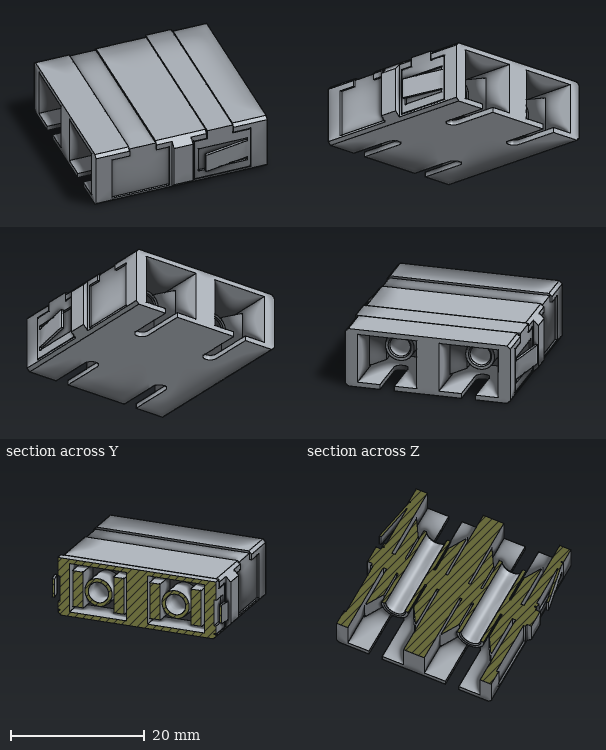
import cadquery as cq
import math

body_width = 25.7
body_length = 27.42
body_height = 9.25
half_width = body_width / 2
half_length = body_length / 2

flange_step = 0.79
flange_length = 3.03
body_chamfer = 0.48

cavity_offset = 6.35
cavity_width = 9.2
wall = 0.79
web_thickness = flange_length

tube_offset = 6.25
tube_z = 4.6
tube_diameter = 4.5
tube_length = 5.78
tube_reach = web_thickness / 2 + tube_length
bore_diameter = 3.2
bore_chamfer = 0.2
hook_width = 1.75
hook_height = 5.8
hook_spread = 8.42
hook_tip_to_end = 4.77
hook_bevel_angle = 30.0

keyway_width = 2.2
keyway_length = 8.42

recess_depth = 0.35
side_recess_start = 1.95
side_recess_length = 9.18
side_recess_bottom = 0.79
side_recess_top = 7.9
top_recess_start = 4.0
top_recess_length = 4.3
clip_gap = 0.098

outer_width = 28.07
window_start = 2.7
window_length = 7.85
window_height = 4.1
tab_height = 3.0
tab_z = 4.2
tab_tip_y = 3.42
tab_tip_flat = 0.45
tab_root_flat = 0.22


def box(width, length, height, x, y, z):
    """Box centred in X on x, starting at y and z."""
    return cq.Workplane("XY").box(width, length, height, centered=(True, False, False)).translate((x, y, z))


def both_ends(shape):
    """The shape at the front end together with its mirror image at the rear end."""
    return shape.union(shape.mirror("XZ"))


def both_sides(shape):
    """The shape on the right together with its mirror image on the left."""
    return shape.union(shape.mirror("YZ"))


def chamfered_bar(width, length, chamfer):
    bar = box(width, length, body_height, 0, -length / 2, 0)
    return bar.edges("|Y").chamfer(chamfer)


def cavity(x):
    end_depth = half_length - web_thickness / 2
    height = body_height - 2 * wall
    return box(cavity_width, end_depth, height, x, -half_length, wall)


def keyway(x):
    straight = keyway_length - keyway_width / 2
    slot = box(keyway_width, straight, wall, x, -half_length, 0)
    round_end = cq.Workplane("XY").center(x, straight - half_length).circle(keyway_width / 2).extrude(wall)
    return slot.union(round_end)


def latch_hook(x, side):
    """Arm reaching forward from the web, bevelled on the face toward the ferrule tube."""
    tip_y = hook_tip_to_end - half_length
    bevel_length = hook_width / math.tan(math.radians(hook_bevel_angle))
    outer_x = x + side * hook_spread / 2
    inner_x = outer_x - side * hook_width
    outline = [(outer_x, 0), (outer_x, tip_y), (inner_x, tip_y + bevel_length), (inner_x, 0)]
    arm = cq.Workplane("XY").polyline(outline).close().extrude(hook_height)
    return arm.translate((0, 0, tube_z - hook_height / 2))


def rod(x, diameter):
    """Round bar on the axis of one tube, from mid length to the tube's front tip."""
    return cq.Workplane("XZ").center(x, tube_z).circle(diameter / 2).extrude(tube_reach)


def ferrule_bore(x):
    """Bore with a cone that widens toward the tube's front tip."""
    tip = cq.Workplane("XZ", origin=(x, -tube_reach, tube_z))
    mouth = tip.circle(bore_diameter / 2 + bore_chamfer)
    cone = mouth.workplane(offset=-bore_chamfer).circle(bore_diameter / 2).loft()
    return rod(x, bore_diameter).union(cone)


def wrap_band(gap):
    """Band that fills the rear recess, drawn in by gap along its edges."""
    side_y = side_recess_start + gap
    side_z = side_recess_bottom + gap
    side_length = side_recess_length - 2 * gap
    side_height = side_recess_top - side_recess_bottom - 2 * gap
    top_y = top_recess_start + gap
    top_length = top_recess_length - 2 * gap
    band = box(body_width, side_length, side_height, 0, side_y, side_z)
    band = band.union(box(body_width, top_length, body_height - side_z, 0, top_y, side_z))
    inner_width = body_width - 2 * recess_depth
    core = box(inner_width, body_length, body_height - recess_depth, 0, 0, 0)
    return band.cut(core)


def tab_window():
    x = half_width - recess_depth / 2
    return box(recess_depth, window_length, window_height, x, window_start, tab_z - window_height / 2)


def spring_tab():
    """Tab that leaves the clip face near the window's rear edge and ends in a short flat tip."""
    outer_x = outer_width / 2
    root_y = window_start + window_length
    root_bend_y = root_y - tab_root_flat
    tip_bend_y = tab_tip_y + tab_tip_flat
    slope = (outer_x - half_width) / (root_bend_y - tip_bend_y)
    floor_x = half_width - recess_depth
    tip_inner_x = outer_x - recess_depth
    floor_y = tab_tip_y + (tip_inner_x - floor_x) / slope
    outline = [
        (outer_x, tab_tip_y),
        (outer_x, tip_bend_y),
        (half_width, root_bend_y),
        (half_width, root_y),
        (floor_x, root_y),
        (floor_x, floor_y),
        (tip_inner_x, tab_tip_y),
    ]
    tab = cq.Workplane("XY").polyline(outline).close().extrude(tab_height)
    return tab.translate((0, 0, tab_z - tab_height / 2))


flange_width = body_width + 2 * flange_step
housing = chamfered_bar(body_width, body_length, body_chamfer)
housing = housing.union(chamfered_bar(flange_width, flange_length, body_chamfer + flange_step))

for side in (-1, 1):
    housing = housing.cut(both_ends(cavity(side * cavity_offset)))
    housing = housing.cut(both_ends(keyway(side * cavity_offset)))

for side in (-1, 1):
    x = side * tube_offset
    fittings = rod(x, tube_diameter).union(latch_hook(x, -1)).union(latch_hook(x, 1))
    housing = housing.union(both_ends(fittings))
    housing = housing.cut(both_ends(ferrule_bore(x)))

housing = housing.cut(both_ends(wrap_band(0)))
clip = wrap_band(clip_gap).cut(both_sides(tab_window())).union(both_sides(spring_tab()))
result = housing.union(clip)